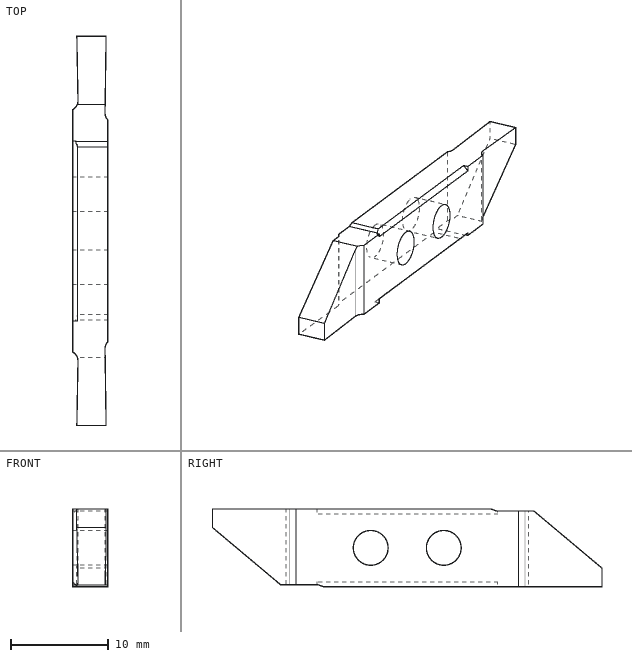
import cadquery as cq
import math

width = 3.6
length = 40.0
height = 8.0

tip_height = 1.92
slope_angle = 40.0
step_depth = 0.2
step_start = 8.6
step_run = 0.55

left_tip_inset = 0.41
left_neck_inset = 0.53
left_shoulder = 12.45
right_tip_inset = 0.16
right_neck_inset = 0.27
right_shoulder = 11.4
shoulder_radius = 1.0

chamfer_size = 0.5
chamfer_length = 18.5
hole_diameter = 3.55
hole_spacing = 7.5

half_width = width / 2
half_length = length / 2
half_height = height / 2


def make_profile():
    """Body with the YZ outline, at full width."""
    slope_top = half_height - step_depth
    slope_rise = slope_top - (tip_height - half_height)
    slope_start = half_length - slope_rise / math.tan(math.radians(slope_angle))
    upper_edge = [
        (half_length, tip_height - half_height),
        (slope_start, slope_top),
        (step_start + step_run, slope_top),
        (step_start, half_height),
        (-half_length, half_height),
    ]
    lower_edge = [(-y, -z) for y, z in upper_edge]
    outline = cq.Workplane("YZ").polyline(upper_edge + lower_edge).close()
    return outline.extrude(width).translate((-half_width, 0, 0))


def make_neck_cutter(side, end, shoulder, neck_inset, tip_inset):
    """Material beside one neck; side is the sign of X and end the sign of Y."""
    body_x = half_width
    neck_x = half_width - neck_inset
    tip_x = half_width - tip_inset

    arc_angle = math.acos(1 - neck_inset / shoulder_radius)
    neck_y = shoulder + shoulder_radius * math.sin(arc_angle)
    arc_center_x = neck_x + shoulder_radius
    arc_middle_x = arc_center_x - shoulder_radius * math.cos(arc_angle / 2)
    arc_middle_y = neck_y - shoulder_radius * math.sin(arc_angle / 2)

    def place(x, y):
        return (side * x, end * y)

    return (
        cq.Workplane("XY")
        .moveTo(*place(body_x, shoulder))
        .threePointArc(place(arc_middle_x, arc_middle_y), place(neck_x, neck_y))
        .lineTo(*place(tip_x, half_length))
        .lineTo(*place(body_x, half_length))
        .close()
        .extrude(height)
        .translate((0, 0, -half_height))
    )


def make_chamfer_cutter(face):
    """Wedge along a -X edge; face is the sign of Z."""
    corner = (-half_width, face * half_height)
    on_face = (-half_width + chamfer_size, face * half_height)
    on_side = (-half_width, face * (half_height - chamfer_size))
    wedge = cq.Workplane("XZ").polyline([corner, on_face, on_side]).close()
    return wedge.extrude(chamfer_length).translate((0, chamfer_length / 2, 0))


def make_holes():
    """Two through holes along X."""
    centers = [(-hole_spacing / 2, 0), (hole_spacing / 2, 0)]
    circles = cq.Workplane("YZ").pushPoints(centers).circle(hole_diameter / 2)
    return circles.extrude(width).translate((-half_width, 0, 0))


result = make_profile()
for end in (-1, 1):
    result = result.cut(make_neck_cutter(-1, end, left_shoulder, left_neck_inset, left_tip_inset))
    result = result.cut(make_neck_cutter(1, end, right_shoulder, right_neck_inset, right_tip_inset))
for face in (-1, 1):
    result = result.cut(make_chamfer_cutter(face))
result = result.cut(make_holes())